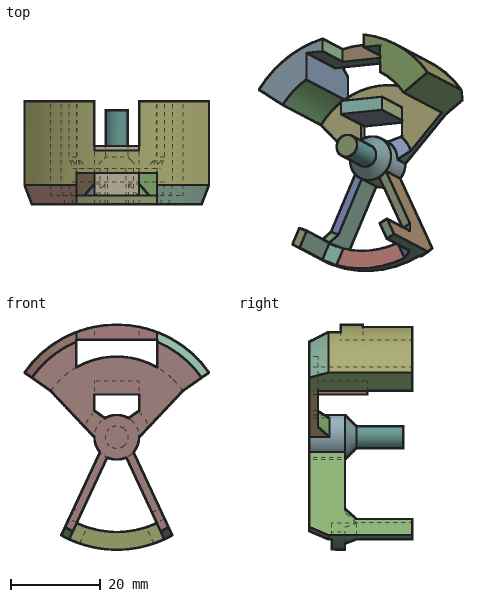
import cadquery as cq
import math


rim_radius = 25.1
rim_bevel_width = 2.0
rim_bevel_angle = 25.0
rim_front_radius = rim_radius - rim_bevel_width
rim_bevel_depth = rim_bevel_width / math.tan(math.radians(rim_bevel_angle))
part_depth = 23.0

sector_half_angle = 55.0
sector_rim_inner_radius = 18.0
plate_depth = 2.0
rim_opening_half_width = 9.0
rim_opening_top = 21.7
bridge_front = 7.0
bridge_back = 12.0

shelf_half_width = 5.0
shelf_bottom = 9.5
shelf_thickness = 3.0
shelf_back = 13.0
window_edge_offset = 2.0

hub_radius = 5.0
hub_depth = 8.0
hub_collar_height = 2.5
pin_radius = 2.5
pin_end = 21.0

arm_angle = 25.0
arm_width = 2.0
leg_inner_radius = 21.0
arc_width = 4.0
arc_inner_radius = rim_radius - arc_width
arc_front = 5.0
corner_bevel = 2.5


def prism(outline, front, back):
    """Extrude a closed (x, z) outline from Y = front to Y = back."""
    sketch = cq.Workplane("XZ", origin=(0, front, 0)).polyline(outline).close()
    return sketch.extrude(front - back)


def block(half_width, bottom, top, front, back):
    """Box centred on X = 0."""
    size = (2 * half_width, back - front, top - bottom)
    return cq.Workplane("XY").box(*size, centered=(True, False, False)).translate((0, front, bottom))


def disc(radius, front, back):
    """Cylinder about the pivot axis."""
    return cq.Workplane("XZ", origin=(0, front, 0)).circle(radius).extrude(front - back)


def turned(profile):
    """Revolve a closed (radius, y) profile about the pivot axis."""
    return cq.Workplane("XY").polyline(profile).close().revolve(360, (0, 0, 0), (0, 1, 0))


def polar(radius, angle):
    """Point at an angle measured from +Z towards +X."""
    return (radius * math.sin(math.radians(angle)), radius * math.cos(math.radians(angle)))


def wedge(half_angle, direction):
    """Outline from the pivot to beyond the rim, opening up (+1) or down (-1)."""
    reach = 2 * rim_radius
    x, z = polar(reach, half_angle)
    return [(0, 0), (x, direction * z), (x, direction * reach), (-x, direction * reach), (-x, direction * z)]


def make_envelope():
    """Outer cylinder with the bevelled front edge that trims the rim and the arms."""
    return turned([
        (0, 0),
        (rim_front_radius, 0),
        (rim_radius, rim_bevel_depth),
        (rim_radius, part_depth),
        (0, part_depth),
    ])


def make_rim():
    """Upper rim; only a bridge is left in the middle, between front opening and rear gap."""
    rim = prism(wedge(sector_half_angle, 1), 0, part_depth)
    rim = rim.cut(disc(sector_rim_inner_radius, 0, part_depth))
    rim = rim.cut(block(rim_opening_half_width, 0, rim_opening_top, 0, part_depth))
    rim = rim.cut(block(rim_opening_half_width, 0, rim_radius, 0, bridge_front))
    return rim.cut(block(shelf_half_width, 0, rim_radius, bridge_back, part_depth))


def web_solid(depth):
    """Sector web tapering from the rim's inner corners down to the sides of the hub."""
    x, z = polar(sector_rim_inner_radius, sector_half_angle)
    top = sector_rim_inner_radius
    outline = [(-hub_radius, 0), (hub_radius, 0), (x, z), (x, top), (-x, top), (-x, z)]
    return prism(outline, 0, depth).intersect(disc(sector_rim_inner_radius, 0, depth))


def make_web():
    """Thin web with a conical collar around the hub, the shelf and the window."""
    collar_top = plate_depth + hub_collar_height
    collar = turned([
        (0, 0),
        (hub_radius + collar_top, 0),
        (hub_radius, collar_top),
        (0, collar_top),
    ])
    web = web_solid(plate_depth).union(collar.intersect(web_solid(collar_top)))
    shelf = block(shelf_half_width, shelf_bottom, shelf_bottom + shelf_thickness, 0, shelf_back)
    return web.union(shelf).cut(make_window())


def make_window():
    """Opening under the shelf; its lower edges run parallel to the sector's radial sides."""
    angle = math.radians(sector_half_angle)
    valley = window_edge_offset / math.sin(angle)
    side = valley + shelf_half_width / math.tan(angle)
    half = shelf_half_width
    outline = [(0, valley), (half, side), (half, shelf_bottom), (-half, shelf_bottom), (-half, side)]
    return prism(outline, 0, hub_depth)


def make_hub():
    """Hub tapering at 45 degrees into the rear pin."""
    taper_end = hub_depth + hub_radius - pin_radius
    return turned([
        (0, 0),
        (hub_radius, 0),
        (hub_radius, hub_depth),
        (pin_radius, taper_end),
        (pin_radius, pin_end),
        (0, pin_end),
    ])


def make_arm():
    """Right-hand arm: an L-shaped wall whose inner face lies on a radial plane."""
    wall = (
        cq.Workplane("YZ")
        .moveTo(0, 0)
        .lineTo(hub_depth, 0)
        .lineTo(hub_depth, corner_bevel - leg_inner_radius)
        .lineTo(hub_depth + corner_bevel, -leg_inner_radius)
        .lineTo(part_depth, -leg_inner_radius)
        .lineTo(part_depth, -2 * rim_radius)
        .lineTo(0, -2 * rim_radius)
        .close()
        .extrude(arm_width)
    )
    arc_filler = (
        cq.Workplane("XY")
        .polyline([(0, hub_depth), (-corner_bevel, hub_depth), (0, hub_depth + corner_bevel)])
        .close()
        .extrude(-2 * rim_radius)
        .cut(disc(arc_inner_radius, 0, part_depth))
    )
    return wall.union(arc_filler).rotate((0, 0, 0), (0, 1, 0), -arm_angle)


def make_lower_arc():
    """Arc-shaped bar between the two arms."""
    arc = prism(wedge(arm_angle, -1), arc_front, hub_depth)
    return arc.cut(disc(arc_inner_radius, arc_front, hub_depth))


arm = make_arm()
arms = arm.union(arm.mirror("YZ")).union(make_lower_arc())
body = make_rim().union(make_web()).union(arms).intersect(make_envelope())
result = body.union(make_hub())